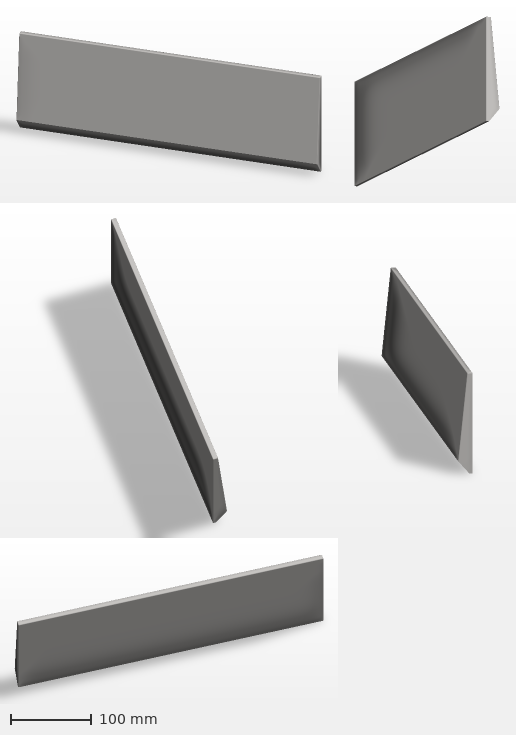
import cadquery as cq

length = 390.7
depth = 18.5
height = 133.0

top_thickness = 6.5
bottom_thickness = 4.0
nose_height = 17.5

edge_radius = 0.98

profile = [
    (0, 0),
    (-bottom_thickness, 0),
    (-depth, nose_height),
    (-top_thickness, height),
    (0, height),
]

wedge = cq.Workplane("YZ").polyline(profile).close().extrude(length / 2, both=True)


def is_rounded(edge):
    """Edges centred above the nose are rounded; the nose, bevel and bottom stay sharp."""
    return edge.Center().z > nose_height + edge_radius


result = wedge.edges().filter(is_rounded).fillet(edge_radius)